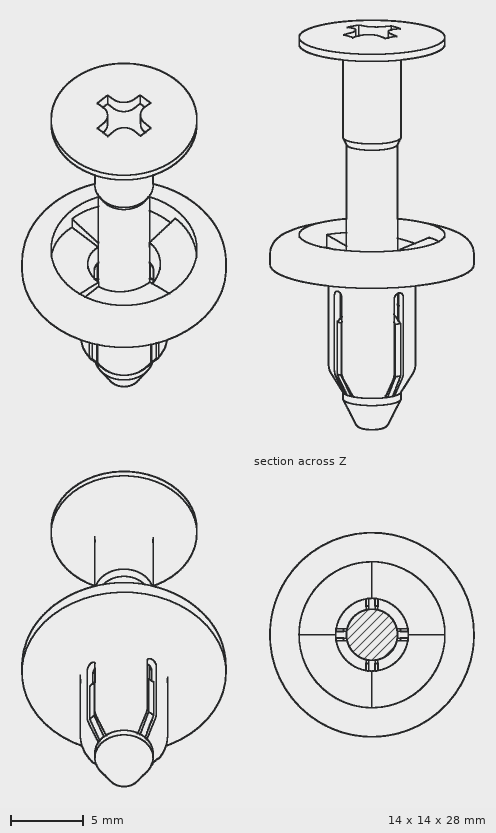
import cadquery as cq
import math


pin_diameter = 4.0
pin_radius = pin_diameter / 2
neck_radius = 1.75
collar_top = 2.52
root_fillet = 0.5
head_radius = 5.0
body_radius = 3.0
taper_top = 4.15
quarter_turns = [0, 90, 180, 270]
select_margin = 0.03

dome_apex = 28.0
dome_height = 0.48
head_rim_height = 0.5
shank_bottom = 20.47
shank_chamfer_height = 0.5
collar_height = 0.5
tip_radius = 1.0
tip_fillet = 0.5
fin_width = 0.45
fin_radius = 2.88
fin_shoulder = 7.83
fin_top = 8.6
cross_length = 4.17
cross_arm_width = 1.0
cross_corner_radius = 1.0
cross_depth = 1.0

flange_diameter = 14.0
flange_radius = flange_diameter / 2
flange_bottom = 11.5
flange_top = 13.6
flange_corner = 12.95
flange_edge_fillet = 1.0
bore_radius = 2.5
shoulder_fillet = 1.0
slot_width = 0.8
slot_top = 10.05
ramp_low = 11.75
ramp_high = 12.65


def circle_edges_at(radius, height):
    """Selector box around the circular edge of this radius and height, centred on the Z axis."""
    reach = radius + select_margin
    lowest = height - select_margin
    highest = height + select_margin
    return cq.selectors.BoxSelector((-reach, -reach, lowest), (reach, reach, highest), boundingbox=True)


def turned_pin():
    rim_top = dome_apex - dome_height
    rim_bottom = rim_top - head_rim_height
    dome_ball_radius = (head_radius**2 + dome_height**2) / (2 * dome_height)
    dome_mid_radius = head_radius / 2
    dome_mid_height = dome_apex - dome_ball_radius + math.sqrt(dome_ball_radius**2 - dome_mid_radius**2)
    pin = (
        cq.Workplane("XZ")
        .moveTo(0, 0)
        .lineTo(tip_radius, 0)
        .lineTo(pin_radius, collar_top - collar_height)
        .lineTo(pin_radius, collar_top)
        .lineTo(neck_radius, collar_top)
        .lineTo(neck_radius, shank_bottom - shank_chamfer_height)
        .lineTo(pin_radius, shank_bottom)
        .lineTo(pin_radius, rim_bottom)
        .lineTo(head_radius, rim_bottom)
        .lineTo(head_radius, rim_top)
        .threePointArc((dome_mid_radius, dome_mid_height), (0, dome_apex))
        .close()
        .revolve(360, (0, 0), (0, 1))
    )
    pin = pin.edges(circle_edges_at(tip_radius, 0)).fillet(tip_fillet)
    return pin.edges(circle_edges_at(pin_radius, rim_bottom)).fillet(root_fillet)


def fin():
    """Upright plate on the +X side of the pin, starting on the axis."""
    return (
        cq.Workplane("XZ")
        .moveTo(0, collar_top)
        .lineTo(pin_radius, collar_top)
        .lineTo(fin_radius, taper_top)
        .lineTo(fin_radius, fin_shoulder)
        .lineTo(neck_radius, fin_top)
        .lineTo(0, fin_top)
        .close()
        .extrude(fin_width / 2, both=True)
    )


def cross_recess():
    arm = cq.Workplane("XY").box(
        cross_length, cross_arm_width, cross_depth, centered=(True, True, False)
    )
    reach = cross_arm_width / 2 + select_margin
    corners = cq.selectors.BoxSelector((-reach, -reach, 0), (reach, reach, cross_depth))
    cross = arm.union(arm.rotate((0, 0, 0), (0, 0, 1), 90))
    cross = cross.edges("|Z").edges(corners).fillet(cross_corner_radius)
    return cross.translate((0, 0, dome_apex - cross_depth))


def make_pin():
    pin = turned_pin()
    for angle in quarter_turns:
        pin = pin.union(fin().rotate((0, 0, 0), (0, 0, 1), angle))
    return pin.cut(cross_recess())


def turned_grommet():
    grommet = (
        cq.Workplane("XZ")
        .moveTo(0, collar_top)
        .lineTo(pin_radius, collar_top)
        .lineTo(body_radius, taper_top)
        .lineTo(body_radius, flange_bottom)
        .lineTo(flange_radius, flange_bottom)
        .lineTo(flange_radius, flange_corner)
        .lineTo(head_radius, flange_top)
        .lineTo(0, flange_top)
        .close()
        .revolve(360, (0, 0), (0, 1))
    )
    grommet = grommet.edges(circle_edges_at(flange_radius, flange_corner)).fillet(flange_edge_fillet)
    grommet = grommet.edges(circle_edges_at(body_radius, flange_bottom)).fillet(root_fillet)
    return grommet.edges(circle_edges_at(body_radius, taper_top)).fillet(shoulder_fillet)


def bore():
    """Wide bore that narrows with the outer taper until it meets the neck of the pin."""
    taper_slope = (body_radius - pin_radius) / (taper_top - collar_top)
    seat_top = taper_top - (bore_radius - neck_radius) / taper_slope
    return (
        cq.Workplane("XZ")
        .moveTo(0, collar_top)
        .lineTo(neck_radius, collar_top)
        .lineTo(neck_radius, seat_top)
        .lineTo(bore_radius, taper_top)
        .lineTo(bore_radius, flange_top)
        .lineTo(0, flange_top)
        .close()
        .revolve(360, (0, 0), (0, 1))
    )


def ramp_recess():
    """Quarter of the flange recess, its flat floor level along +X and rising along +Y."""
    quarter = (
        cq.Workplane("XY", origin=(0, 0, ramp_low))
        .lineTo(head_radius, 0)
        .radiusArc((0, head_radius), -head_radius)
        .close()
        .extrude(flange_top - ramp_low)
    )
    above_floor = (
        cq.Workplane("YZ")
        .moveTo(0, ramp_low)
        .lineTo(head_radius, ramp_high)
        .lineTo(head_radius, flange_top)
        .lineTo(0, flange_top)
        .close()
        .extrude(head_radius)
    )
    return quarter.intersect(above_floor)


def slot():
    """Round-topped slot through the +X wall, open at the bottom."""
    half = slot_width / 2
    return (
        cq.Workplane("YZ")
        .moveTo(-half, collar_top)
        .lineTo(half, collar_top)
        .lineTo(half, slot_top - half)
        .threePointArc((0, slot_top), (-half, slot_top - half))
        .close()
        .extrude(flange_radius)
    )


def make_grommet():
    grommet = turned_grommet().cut(bore())
    for angle in quarter_turns:
        for cutter in (ramp_recess(), slot()):
            grommet = grommet.cut(cutter.rotate((0, 0, 0), (0, 0, 1), angle))
    return grommet


pin = make_pin()
grommet = make_grommet()
result = cq.Compound.makeCompound([pin.solids().val(), grommet.solids().val()])